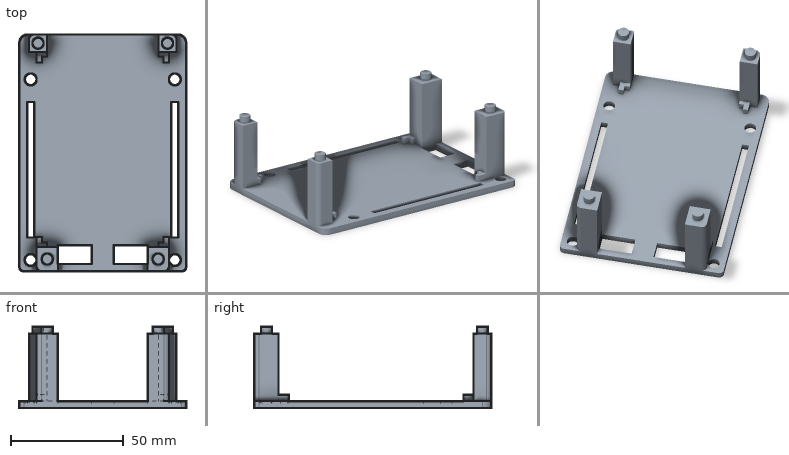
import cadquery as cq

plate_width = 74.0
plate_length = 105.0
plate_thickness = 3.0
front_corner_radius = 2.1
rear_corner_radius = 4.0

total_height = 36.0
pin_height = 3.0
pin_diameter = 4.9
post_corner_radius = 2.1
post_top = total_height - pin_height

front_post_outer_x = 29.3
front_post_width = 9.5
front_post_depth = 10.8
front_pin_x = 24.6
front_pin_y = 5.5

rear_post_outer_x = 32.7
rear_post_width = 8.0
rear_post_depth = 7.9
rear_pin_x = rear_post_outer_x - rear_post_width / 2
rear_pin_y = plate_length - rear_post_depth / 2

foot_outer_x = front_post_outer_x
foot_width = foot_outer_x - (rear_post_outer_x - rear_post_width)
foot_length = 4.5
foot_arm = 1.9
foot_leg = 2.3
foot_height = 2.9

hole_diameter = 5.1
hole_x = 31.9
front_hole_y = 5.0
hole_spacing_y = 80.0

slot_outer_x = 33.4
slot_width = 3.0
slot_start_y = 15.0
slot_length = 60.0

window_outer_x = front_post_outer_x - front_post_width
window_width = 14.9
window_start_y = 3.4
window_length = 8.2


def block(side, outer_x, width, y, length, bottom, top):
    """Box on one side (-1 or 1), running inward from outer_x and back from y."""
    center_x = side * (outer_x - width / 2)
    return (
        cq.Workplane("XY", origin=(center_x, y + length / 2, bottom))
        .rect(width, length)
        .extrude(top - bottom)
    )


def cylinder(x, y, diameter, bottom, top):
    return cq.Workplane("XY", origin=(x, y, bottom)).circle(diameter / 2).extrude(top - bottom)


def make_plate():
    plate = block(1, plate_width / 2, plate_width, 0, plate_length, 0, plate_thickness)
    plate = plate.edges("|Z and <Y").fillet(front_corner_radius)
    return plate.edges("|Z and >Y").fillet(rear_corner_radius)


def outer_edge(side):
    """Selector for the vertical edges on the outward face of a post."""
    return "|Z and >X" if side > 0 else "|Z and <X"


def make_front_post(side):
    post = block(
        side, front_post_outer_x, front_post_width, 0, front_post_depth,
        plate_thickness, post_top,
    )
    post = post.edges(outer_edge(side)).edges("<Y").fillet(post_corner_radius)
    return post.union(cylinder(side * front_pin_x, front_pin_y, pin_diameter, post_top, total_height))


def make_rear_post(side):
    start_y = plate_length - rear_post_depth
    post = block(
        side, rear_post_outer_x, rear_post_width, start_y, rear_post_depth,
        plate_thickness, post_top,
    )
    post = post.edges(outer_edge(side)).edges(">Y").fillet(post_corner_radius)
    return post.union(cylinder(side * rear_pin_x, rear_pin_y, pin_diameter, post_top, total_height))


def make_foot(side, post_face_y, direction):
    """L-shaped foot growing from a post face along Y (direction 1 or -1)."""
    arm_y = post_face_y + direction * foot_arm
    end_y = post_face_y + direction * foot_length
    inner_x = foot_outer_x - foot_width
    leg_x = foot_outer_x - foot_leg
    outline = [
        (side * foot_outer_x, post_face_y),
        (side * inner_x, post_face_y),
        (side * inner_x, arm_y),
        (side * leg_x, arm_y),
        (side * leg_x, end_y),
        (side * foot_outer_x, end_y),
    ]
    return cq.Workplane("XY", origin=(0, 0, plate_thickness)).polyline(outline).close().extrude(foot_height)


def make_openings(side):
    slot = block(side, slot_outer_x, slot_width, slot_start_y, slot_length, 0, plate_thickness)
    window = block(side, window_outer_x, window_width, window_start_y, window_length, 0, plate_thickness)
    openings = slot.union(window)
    for hole_y in (front_hole_y, front_hole_y + hole_spacing_y):
        openings = openings.union(cylinder(side * hole_x, hole_y, hole_diameter, 0, plate_thickness))
    return openings


result = make_plate()
for side in (-1, 1):
    result = result.cut(make_openings(side))
    result = result.union(make_front_post(side))
    result = result.union(make_rear_post(side))
    result = result.union(make_foot(side, front_post_depth, 1))
    result = result.union(make_foot(side, plate_length - rear_post_depth, -1))